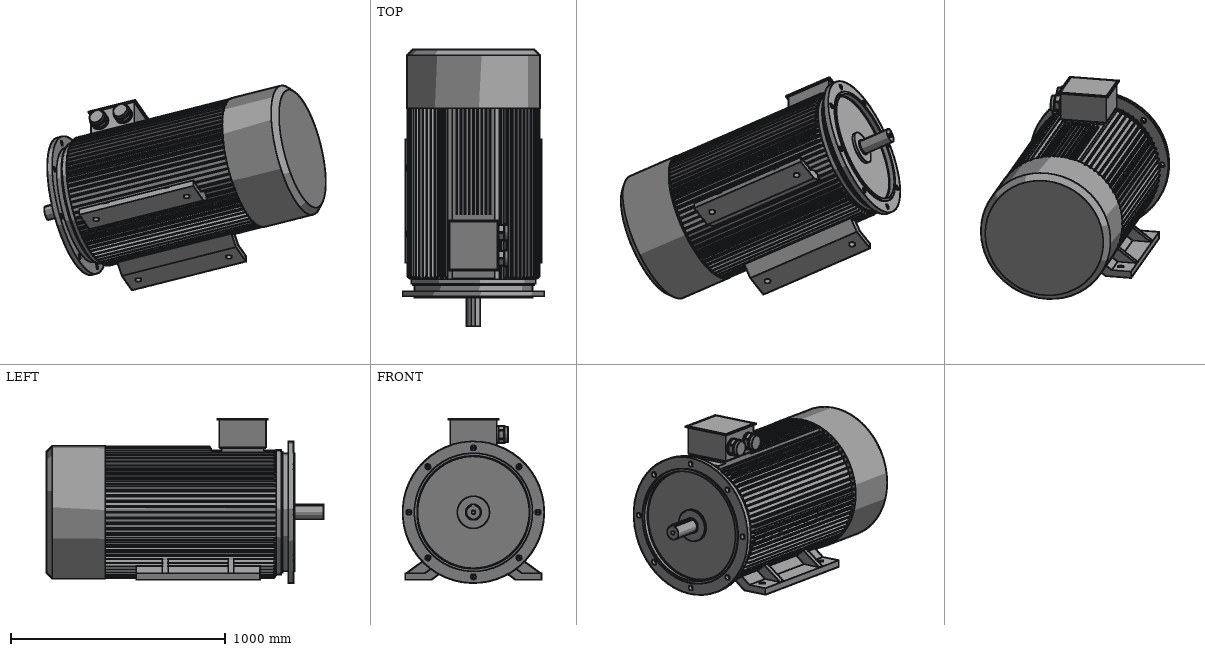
import cadquery as cq
import math


flange_diameter = 660
flange_thickness = 25
spigot_diameter = 550
spigot_height = 6
shield_step_diameter = 565
shield_step_start = 51
shield_diameter = 580
shield_start = 58
core_diameter = 575
core_start = 80
cowl_diameter = 620
cowl_start = 875
cowl_end = 1150
cowl_chamfer = 28

bolt_circle_diameter = 600
bolt_hole_diameter = 24
bolt_hole_count = 8
recess_diameter = 526
recess_corner_chamfer = 3
recess_floor = 20
hub_diameter = 150
hub_height = 12

shaft_diameter = 65
shaft_length = 140
collar_diameter = 72
collar_height = 4
key_width = 18
key_top = 36.5
key_height = 11
center_hole_diameter = 17.29
center_hole_angle = 60

fin_tip_radius = 308
fin_count = 72
fin_pitch_angle = 360 / fin_count
fin_thickness = 5
fin_start = 81
fin_root_radius = core_diameter / 2 - 5
fin_chamfer_length = 12
fin_chamfer_depth = 14
bare_top_angle = 22

pad_width = 198
pad_top = 288
pad_start = 85
pad_base = 240
rib_count = 9
rib_pitch = 19.4
rib_start = 382
rib_thickness = 6

box_center_y = 237
box_size = 218
box_bottom = 299
box_chamfer = 4
lid_size = 236
lid_top = 436
lid_thickness = 5
lid_panel_size = 222
lid_panel_height = 1.5

gland_spacing = 120
gland_center_z = 362
gland_diameter = 80
gland_across_flats = 72
gland_length = 36
gland_base_length = 8
gland_collar_length = 4
cap_diameter = 72
cap_length = 16
cap_tip_diameter = 69.61
cap_tip_length = 5

foot_bottom = -315
foot_thickness = 32
foot_outer_x = 317.5
foot_inner_x = 196
foot_bend_x = 225
foot_center_y = 444
foot_length = 576
foot_seat_radius = fin_tip_radius - 1
web_angle = math.radians(37)
web_rise = 110
gusset_width = 26
gusset_spacing = 306
gusset_outer_x = 312
gusset_angle = math.radians(36)
gusset_rise = 90
foot_hole_diameter = 28
foot_hole_x = 254
foot_hole_spacing = 457


def revolve_profile(points):
    """Solid of revolution about Y from (radius, y) points."""
    return cq.Workplane("XY").polyline(points).close().revolve(360, (0, 0, 0), (0, 1, 0))


def disc(diameter, start, end):
    return revolve_profile([(0, start), (diameter / 2, start), (diameter / 2, end), (0, end)])


def box_between(x_range, y_range, z_range):
    size = [high - low for low, high in (x_range, y_range, z_range)]
    return cq.Workplane("XY").box(*size, centered=False).translate((x_range[0], y_range[0], z_range[0]))


def square_block(side, bottom, top):
    """Upright block centred on the terminal box."""
    return box_between(
        (-side / 2, side / 2),
        (box_center_y - side / 2, box_center_y + side / 2),
        (bottom, top),
    )


def make_housing():
    flange_r, spigot_r = flange_diameter / 2, spigot_diameter / 2
    step_r, shield_r = shield_step_diameter / 2, shield_diameter / 2
    core_r, cowl_r = core_diameter / 2, cowl_diameter / 2
    return revolve_profile([
        (0, -spigot_height),
        (spigot_r, -spigot_height),
        (spigot_r, 0),
        (flange_r, 0),
        (flange_r, flange_thickness),
        (spigot_r, flange_thickness),
        (spigot_r, shield_step_start),
        (step_r, shield_step_start),
        (step_r, shield_start),
        (shield_r, shield_start),
        (shield_r, core_start),
        (core_r, core_start),
        (core_r, cowl_start),
        (cowl_r, cowl_start),
        (cowl_r, cowl_end - cowl_chamfer),
        (cowl_r - cowl_chamfer, cowl_end),
        (0, cowl_end),
    ])


def make_recess():
    recess_radius = recess_diameter / 2
    return revolve_profile([
        (0, -spigot_height),
        (recess_radius, -spigot_height),
        (recess_radius, recess_floor - recess_corner_chamfer),
        (recess_radius - recess_corner_chamfer, recess_floor),
        (0, recess_floor),
    ])


def make_bolt_holes():
    angle_step = 360 / bolt_hole_count
    hole = disc(bolt_hole_diameter, 0, flange_thickness).translate((bolt_circle_diameter / 2, 0, 0))
    holes = cq.Workplane("XY")
    for i in range(bolt_hole_count):
        holes = holes.add(hole.rotate((0, 0, 0), (0, 1, 0), i * angle_step))
    return holes.combine()


def make_shaft():
    hub_face = recess_floor - hub_height
    key = box_between(
        (-key_width / 2, key_width / 2), (-shaft_length, hub_face), (key_top - key_height, key_top)
    )
    hole_radius = center_hole_diameter / 2
    hole_depth = hole_radius / math.tan(math.radians(center_hole_angle / 2))
    center_hole = revolve_profile(
        [(0, -shaft_length), (hole_radius, -shaft_length), (0, hole_depth - shaft_length)]
    )
    return (
        disc(shaft_diameter, -shaft_length, recess_floor)
        .union(key)
        .union(disc(collar_diameter, hub_face - collar_height, recess_floor))
        .union(disc(hub_diameter, hub_face, recess_floor))
        .cut(center_hole)
    )


def make_fin(root_radius, start, thickness):
    """Fin along Y that stands up in +Z, with a sloping front end."""
    return (
        cq.Workplane("YZ")
        .polyline([
            (start, root_radius),
            (start, fin_tip_radius - fin_chamfer_depth),
            (start + fin_chamfer_length, fin_tip_radius),
            (cowl_start, fin_tip_radius),
            (cowl_start, root_radius),
        ])
        .close()
        .extrude(thickness / 2, both=True)
    )


def add_fins(body):
    fin = make_fin(fin_root_radius, fin_start, fin_thickness)
    fins = []
    for i in range(fin_count):
        angle = i * fin_pitch_angle
        if bare_top_angle < angle < 360 - bare_top_angle:
            fins.append(fin.rotate((0, 0, 0), (0, 1, 0), angle).val())
    return cq.Workplane(body.val().fuse(*fins))


def make_pad_with_ribs():
    pad = box_between((-pad_width / 2, pad_width / 2), (pad_start, cowl_start), (pad_base, pad_top))
    rib = make_fin(pad_base, rib_start, rib_thickness)
    envelope = disc(2 * fin_tip_radius, rib_start, cowl_start)
    for i in range(rib_count):
        offset = (i - (rib_count - 1) / 2) * rib_pitch
        pad = pad.union(rib.translate((offset, 0, 0)).intersect(envelope))
    return pad


def make_terminal_box():
    panel_bottom = lid_top - lid_panel_height
    lid_bottom = lid_top - lid_thickness
    case = square_block(box_size, box_bottom, lid_bottom).faces("<Z").chamfer(box_chamfer)
    return (
        case.union(square_block(pad_width, pad_base, box_bottom))
        .union(square_block(lid_size, lid_bottom, panel_bottom))
        .union(square_block(lid_panel_size, panel_bottom, lid_top))
    )


def disc_along_x(diameter, start, end):
    return cq.Workplane("YZ", origin=(start, 0, 0)).circle(diameter / 2).extrude(end - start)


def make_gland():
    """Cable gland along +X, starting at x = 0."""
    hexagon = (
        cq.Workplane("YZ")
        .polygon(6, gland_across_flats / math.cos(math.pi / 6))
        .extrude(gland_length)
        .rotate((0, 0, 0), (1, 0, 0), 30)
    )
    base = disc_along_x(gland_diameter, 0, gland_base_length)
    nut = disc_along_x(gland_diameter, 0, gland_length).intersect(hexagon)
    collar = disc_along_x(gland_diameter, gland_length - gland_collar_length, gland_length)
    cap = disc_along_x(cap_diameter, gland_length, gland_length + cap_length)
    cap = cap.faces(">X").chamfer(cap_tip_length, (cap_diameter - cap_tip_diameter) / 2)
    return base.union(nut).union(collar).union(cap)


def make_foot():
    """Foot on the +X side: sole plate, sloping web, two gussets and two holes.

    Its upper end is hollowed so that it rests on the fin tips.
    """
    foot_top = foot_bottom + foot_thickness
    web_run = web_rise / math.tan(web_angle)
    plate = (
        cq.Workplane("XZ", origin=(0, foot_center_y, 0))
        .polyline([
            (foot_outer_x, foot_bottom),
            (foot_outer_x, foot_top),
            (foot_bend_x, foot_top),
            (foot_bend_x - web_run, foot_top + web_rise),
            (foot_inner_x - web_run, foot_bottom + web_rise),
            (foot_inner_x, foot_bottom),
        ])
        .close()
        .extrude(foot_length / 2, both=True)
    )
    gusset_top_x = gusset_outer_x - gusset_rise / math.tan(gusset_angle)
    gusset = (
        cq.Workplane("XZ", origin=(0, foot_center_y, 0))
        .polyline([
            (gusset_outer_x, foot_top),
            (gusset_top_x, foot_top + gusset_rise),
            (foot_bend_x - web_run, foot_top + web_rise),
            (foot_bend_x, foot_top),
        ])
        .close()
        .extrude(gusset_width / 2, both=True)
    )
    for side in (-1, 1):
        hole_y = foot_center_y + side * foot_hole_spacing / 2
        hole = (
            cq.Workplane("XY", origin=(foot_hole_x, hole_y, foot_bottom))
            .circle(foot_hole_diameter / 2)
            .extrude(foot_thickness)
        )
        plate = plate.union(gusset.translate((0, side * gusset_spacing / 2, 0))).cut(hole)
    return plate.cut(disc(2 * foot_seat_radius, core_start, cowl_start))


motor = add_fins(make_housing())
motor = motor.union(make_pad_with_ribs()).union(make_terminal_box())

gland = make_gland()
for side in (-1, 1):
    gland_y = box_center_y + side * gland_spacing / 2
    motor = motor.union(gland.translate((box_size / 2, gland_y, gland_center_z)))

foot = make_foot()
motor = motor.union(foot).union(foot.mirror("YZ"))

result = motor.cut(make_recess()).cut(make_bolt_holes()).union(make_shaft())